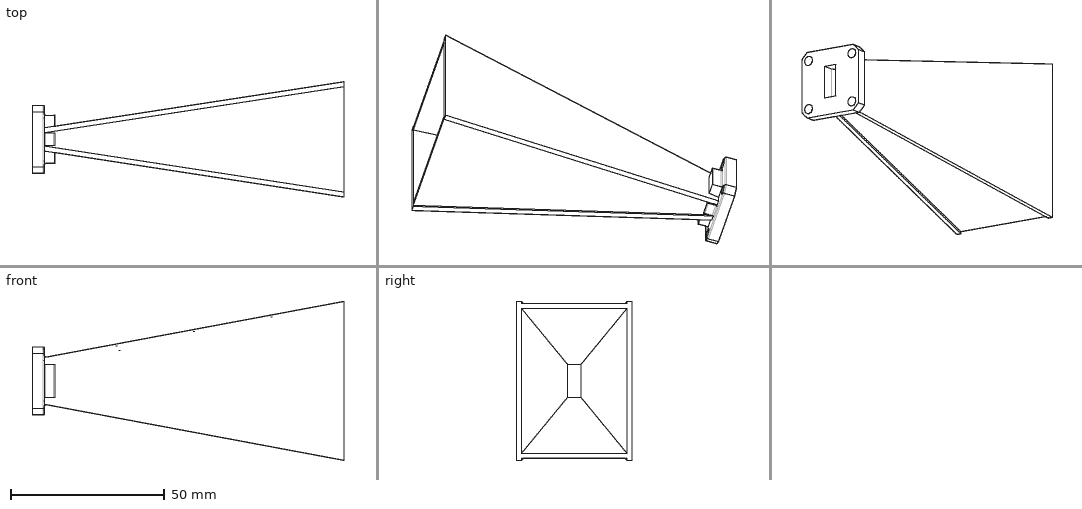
import cadquery as cq

LENGTH = 101.6
GUIDE_WIDTH = 4.318
GUIDE_HEIGHT = 10.668

FLANGE_SIDE = 22.225
FLANGE_TURNED_DIA = 28.575
FLANGE_THICKNESS = 3.92
HOLE_DIA = 3.02
HOLE_SPACING_Y = 17.02
HOLE_SPACING_Z = 16.26

NECK_REACH = 7.85
WIDE_ARM_WIDTH = GUIDE_HEIGHT
NARROW_ARM_WIDTH = 4.1
NECK_END = 7.28
EDGE_RADIUS = 0.42
FLARE_LENGTH = 0.4
FLARE_RISE = 0.08

WALL_THICKNESS = 1.65
LIP = 0.7
MOUTH_WIDTH = 37.67
MOUTH_HEIGHT = 51.92
THROAT_WIDTH = GUIDE_WIDTH + 2 * WALL_THICKNESS
THROAT_HEIGHT = GUIDE_HEIGHT + 2 * (WALL_THICKNESS + LIP)


def frustum(throat_width, throat_height, mouth_width, mouth_height):
    """Solid tapering along X from the back of the flange to the mouth."""
    return (
        cq.Workplane("YZ", origin=(FLANGE_THICKNESS, 0, 0))
        .rect(throat_width, throat_height)
        .workplane(offset=LENGTH - FLANGE_THICKNESS)
        .rect(mouth_width, mouth_height)
        .loft(ruled=True)
    )


def box_from_flange_face(end, width, height):
    """Box centred on the axis, from the flange face to X = end."""
    return cq.Workplane("YZ").rect(width, height).extrude(end)


def make_flange():
    """Square plate with turned corners, a rounded back edge and four bolt holes."""
    square = box_from_flange_face(FLANGE_THICKNESS, FLANGE_SIDE, FLANGE_SIDE)
    turned = cq.Workplane("YZ").circle(FLANGE_TURNED_DIA / 2).extrude(FLANGE_THICKNESS)
    holes = (
        cq.Workplane("YZ")
        .rect(HOLE_SPACING_Y, HOLE_SPACING_Z, forConstruction=True)
        .vertices()
        .circle(HOLE_DIA / 2)
        .extrude(FLANGE_THICKNESS)
    )
    plate = square.intersect(turned).faces(">X").edges().fillet(EDGE_RADIUS)
    return plate.cut(holes)


def neck_arms(width):
    """Two opposite arms along Y, of the given Z width, rounded at the root and flared at the end."""
    root = FLANGE_THICKNESS + EDGE_RADIUS
    foot = NECK_REACH + EDGE_RADIUS
    half = (
        cq.Workplane("XY", origin=(0, 0, -width / 2))
        .lineTo(0, foot)
        .lineTo(FLANGE_THICKNESS, foot)
        .radiusArc((root, NECK_REACH), -EDGE_RADIUS)
        .lineTo(NECK_END - FLARE_LENGTH, NECK_REACH)
        .lineTo(NECK_END, NECK_REACH + FLARE_RISE)
        .lineTo(NECK_END, 0)
        .close()
        .extrude(width)
    )
    return half.union(half.mirror("XZ"))


def make_neck():
    """Cross of two wide arms along Y and two narrow arms along Z."""
    across_y = neck_arms(WIDE_ARM_WIDTH)
    across_z = neck_arms(NARROW_ARM_WIDTH).rotate((0, 0, 0), (1, 0, 0), 90)
    return across_y.union(across_z)


def make_horn():
    """Outer shell: full height at the side walls, lowered by the lip between them."""
    wall = 2 * WALL_THICKNESS
    lip = 2 * LIP
    outer = frustum(THROAT_WIDTH, THROAT_HEIGHT, MOUTH_WIDTH, MOUTH_HEIGHT)
    between = frustum(THROAT_WIDTH - wall, THROAT_HEIGHT, MOUTH_WIDTH - wall, MOUTH_HEIGHT)
    lowered = frustum(THROAT_WIDTH, THROAT_HEIGHT - lip, MOUTH_WIDTH, MOUTH_HEIGHT - lip)
    return outer.cut(between.cut(lowered))


def make_cavity():
    """Straight waveguide through the flange, then the taper to the mouth."""
    wall = 2 * WALL_THICKNESS
    guide = box_from_flange_face(FLANGE_THICKNESS, GUIDE_WIDTH, GUIDE_HEIGHT)
    taper = frustum(
        GUIDE_WIDTH, GUIDE_HEIGHT, MOUTH_WIDTH - wall, MOUTH_HEIGHT - 2 * LIP - wall
    )
    return guide.union(taper)


result = make_flange().union(make_neck()).union(make_horn()).cut(make_cavity())